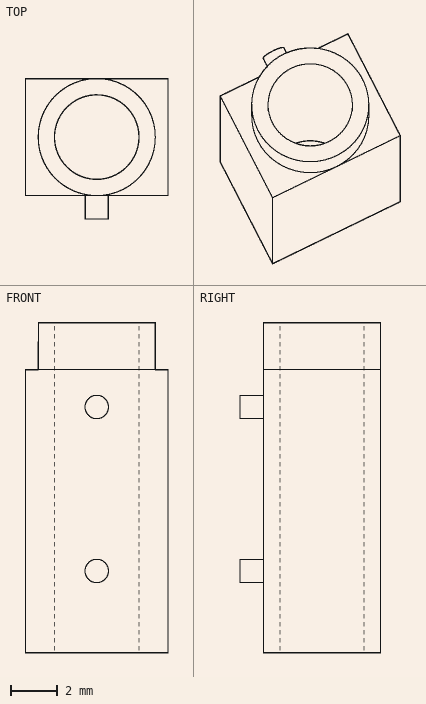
import cadquery as cq

body_width = 6.1
body_depth = 5.0
body_height = 12.1

collar_diameter = body_depth
collar_height = 2.0
bore_diameter = 3.6

pin_diameter = 1.0
pin_length = 1.0
lower_pin_height = 3.5
pin_spacing = 7.0


def make_body():
    return cq.Workplane("XY").box(body_width, body_depth, body_height, centered=(True, True, False))


def make_collar():
    return (
        cq.Workplane("XY")
        .workplane(offset=body_height)
        .circle(collar_diameter / 2)
        .extrude(collar_height)
    )


def make_bore():
    return cq.Workplane("XY").circle(bore_diameter / 2).extrude(body_height + collar_height)


def make_pin(height):
    """Pin standing out of the -Y face, its axis at the given height."""
    return (
        cq.Workplane("XZ", origin=(0, -body_depth / 2, height))
        .circle(pin_diameter / 2)
        .extrude(pin_length)
    )


result = make_body().union(make_collar()).cut(make_bore())
for pin_height in (lower_pin_height, lower_pin_height + pin_spacing):
    result = result.union(make_pin(pin_height))